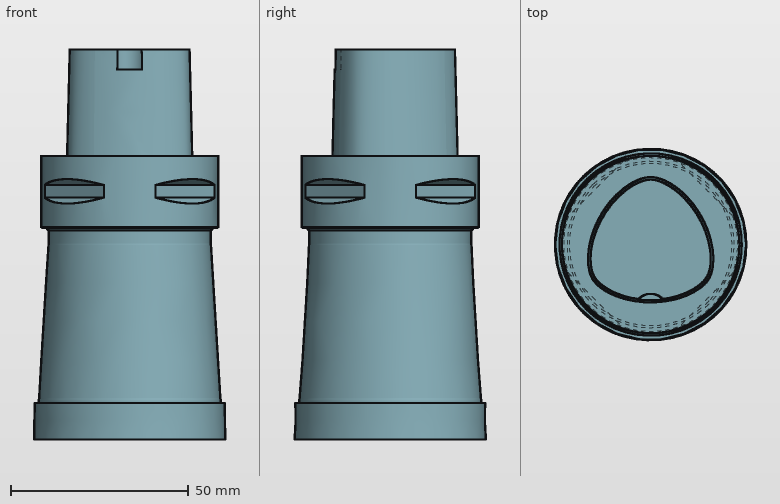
import cadquery as cq
import math

total_height = 110.0
shank_length = 30.0
flange_length = 20.0
flange_top = total_height - shank_length
flange_bottom = flange_top - flange_length

flange_diameter = 50.0
flange_chamfer_width = 0.5
flange_chamfer_height = 0.4
flange_face = flange_bottom - flange_chamfer_height
neck_diameter = 45.8
neck_relief = 0.6
neck_top = flange_face - neck_relief
neck_length = 3.8
neck_bottom = neck_top - neck_length
cone_top_diameter = 45.9
cone_shoulder_height = 0.4
cone_base_diameter = 51.2
rim_diameter = 51.4
rim_height = 0.6
rim_slope_height = 0.7

ring_height = 10.4
ring_diameter = 54.0
ring_top_diameter = 53.6
ring_edge_radius = 0.3

shank_mean_diameter = 35.35
shank_eccentricity = 1.35
shank_taper = 1 / 20
lobe_count = 3
lobe_half_angle = 37.5
first_lobe_angle = 90.0
points_per_face = 12

notch_radius = 4.6
notch_depth = 1.7
notch_height = 5.6

slot_count = 4
slot_first_angle = 45.0
slot_floor_width = 3.5
slot_floor_distance = 22.05
slot_flank_angle = 30.0
slot_height = flange_bottom + flange_length / 2
slot_mouth_clearance = 1.0


def lobed_point(mean_diameter, angle, height):
    """Point on a three-lobed curve of constant width, where the outward normal has this angle."""
    phase = math.radians(lobe_count * (angle - first_lobe_angle))
    normal = math.radians(angle)
    support = mean_diameter / 2 + shank_eccentricity * math.cos(phase)
    slope = -lobe_count * shank_eccentricity * math.sin(phase)
    x = support * math.cos(normal) - slope * math.sin(normal)
    y = support * math.sin(normal) + slope * math.cos(normal)
    return cq.Vector(x, y, height)


def lobed_wire(mean_diameter, height):
    """Closed outline made of one curve for each lobe and one for each flatter side between lobes."""
    lobe_pitch = 360 / lobe_count
    edges = []
    for lobe in range(lobe_count):
        center = first_lobe_angle + lobe * lobe_pitch
        lobe_start = center - lobe_half_angle
        lobe_end = center + lobe_half_angle
        for start, end in [(lobe_start, lobe_end), (lobe_end, lobe_start + lobe_pitch)]:
            step = (end - start) / points_per_face
            angles = [start + i * step for i in range(points_per_face + 1)]
            points = [lobed_point(mean_diameter, angle, height) for angle in angles]
            edges.append(cq.Edge.makeSpline(points))
    return cq.Wire.assembleEdges(edges)


def make_shank():
    top_diameter = shank_mean_diameter - shank_taper * shank_length
    base = lobed_wire(shank_mean_diameter, flange_top)
    top = lobed_wire(top_diameter, total_height)
    shank = cq.Workplane(obj=cq.Solid.makeLoft([base, top], True))

    flat_side = top_diameter / 2 - shank_eccentricity
    notch = (
        cq.Workplane("XY", origin=(0, 0, total_height - notch_height))
        .center(0, -flat_side + notch_depth - notch_radius)
        .circle(notch_radius)
        .extrude(notch_height)
    )
    return shank.cut(notch)


def make_turned_body():
    flange_radius = flange_diameter / 2
    neck_radius = neck_diameter / 2
    rim_radius = rim_diameter / 2
    rim_top = ring_height + rim_height
    return (
        cq.Workplane("XZ")
        .moveTo(0, ring_height)
        .lineTo(rim_radius, ring_height)
        .lineTo(rim_radius, rim_top)
        .lineTo(cone_base_diameter / 2, rim_top + rim_slope_height)
        .lineTo(cone_top_diameter / 2, neck_bottom - cone_shoulder_height)
        .lineTo(neck_radius, neck_bottom)
        .lineTo(neck_radius, neck_top)
        .lineTo(neck_radius + neck_relief, flange_face)
        .lineTo(flange_radius - flange_chamfer_width, flange_face)
        .lineTo(flange_radius, flange_bottom)
        .lineTo(flange_radius, flange_top)
        .lineTo(0, flange_top)
        .close()
        .revolve(360, (0, 0), (0, 1))
    )


def make_gripper_slots():
    """Cutters for the slots: a flat floor with flanks that open outwards."""
    mouth_distance = flange_diameter / 2 + slot_mouth_clearance
    half_floor = slot_floor_width / 2
    flank_run = mouth_distance - slot_floor_distance
    half_mouth = half_floor + flank_run * math.tan(math.radians(slot_flank_angle))
    slot = (
        cq.Workplane("XZ")
        .moveTo(slot_floor_distance, slot_height - half_floor)
        .lineTo(mouth_distance, slot_height - half_mouth)
        .lineTo(mouth_distance, slot_height + half_mouth)
        .lineTo(slot_floor_distance, slot_height + half_floor)
        .close()
        .extrude(flange_diameter / 2, both=True)
    )
    angles = [slot_first_angle + i * 360 / slot_count for i in range(slot_count)]
    return [slot.rotate((0, 0, 0), (0, 0, 1), angle) for angle in angles]


def make_holder():
    holder = make_turned_body().union(make_shank())
    for slot in make_gripper_slots():
        holder = holder.cut(slot)
    return holder.solids()


def make_cutting_ring():
    return (
        cq.Workplane("XZ")
        .lineTo(ring_diameter / 2, 0)
        .lineTo(ring_top_diameter / 2, ring_height)
        .lineTo(0, ring_height)
        .close()
        .revolve(360, (0, 0), (0, 1))
        .edges("%CIRCLE")
        .fillet(ring_edge_radius)
    )


holder = make_holder()
cutting_ring = make_cutting_ring()
result = cq.Compound.makeCompound([holder.val(), cutting_ring.val()])